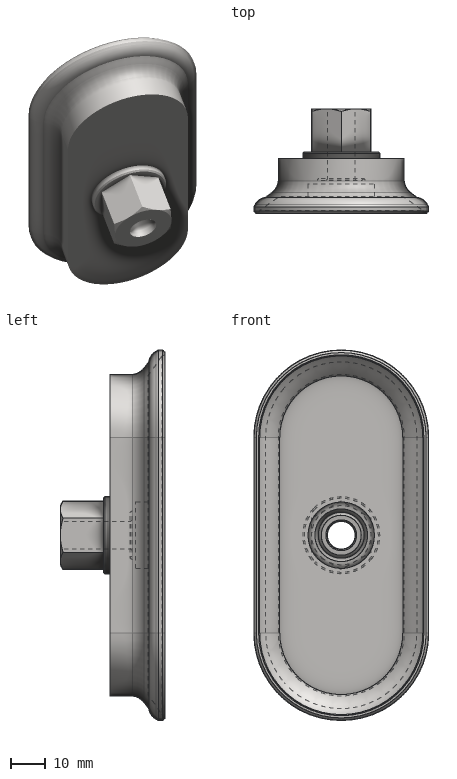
import cadquery as cq
import math

LENGTH = 106.0
WIDTH = 50.0
TOTAL_DEPTH = 30.0
STRAIGHT = LENGTH - WIDTH

RIM_R = WIDTH / 2
BODY_R = 18.0
BODY_BACK_Y = 15.8
BODY_FRONT_Y = 9.3
NECK_R, NECK_Y = 19.8, 6.0
FLARE_R, FLARE_Y = 21.6, 4.7
SHOULDER_R, SHOULDER_Y = 24.6, 2.6
RIM_BACK_Y = 1.9
RIM_FRONT_Y = 0.7
RIM_FACE_R = 24.3

MOUTH_R = 23.6
LIP_EDGE_R, LIP_EDGE_Y = 23.3, 1.0
FLOOR_R = 17.6
FLOOR_Y = 5.0

FLANGE_D = 22.0
FLANGE_BACK_Y = 17.7
FLANGE_CHAMFER = 0.4
HEX_FLATS = 17.0
HEX_CORNERS = HEX_FLATS / math.cos(math.pi / 6)
HEX_CHAMFER_D = 17.0
HEX_CHAMFER_ANGLE = 30.0

COUNTERBORE_D = 19.0
COUNTERBORE_DEPTH = 3.5
GROOVE_OUTER_D = 15.0
GROOVE_BOTTOM_D = 13.1
GROOVE_INNER_D = 11.5
GROOVE_DEPTH = 1.6
TIP_RECESS = 1.0
BORE_D = 8.0
BORE_CHAMFER = 0.4


def revolve_about_y(half_profile):
    return half_profile.close().revolve(360, (0, 0, 0), (0, 1, 0))


def racetrack(half_profile):
    """Carry a half section (x >= 0, starting and ending on the Y axis) round the oval."""
    outline = half_profile.close().val()
    half_bar = cq.Workplane("XY").add(outline).toPending().extrude(STRAIGHT / 2, both=True)
    solid = half_bar.union(half_bar.mirror("YZ"))
    end = cq.Workplane("XY").add(outline).toPending().revolve(360, (0, 0, 0), (0, 1, 0))
    for side in (-1, 1):
        solid = solid.union(end.translate((0, 0, side * STRAIGHT / 2)))
    return solid


def cup():
    outer = (
        cq.Workplane("XY")
        .lineTo(RIM_FACE_R, 0)
        .lineTo(RIM_R, RIM_FRONT_Y)
        .lineTo(RIM_R, RIM_BACK_Y)
        .lineTo(SHOULDER_R, SHOULDER_Y)
        .tangentArcPoint((FLARE_R, FLARE_Y), relative=False)
        .lineTo(NECK_R, NECK_Y)
        .tangentArcPoint((BODY_R, BODY_FRONT_Y), relative=False)
        .lineTo(BODY_R, BODY_BACK_Y)
        .lineTo(0, BODY_BACK_Y)
    )
    cavity = (
        cq.Workplane("XY")
        .lineTo(MOUTH_R, 0)
        .lineTo(LIP_EDGE_R, LIP_EDGE_Y)
        .lineTo(FLOOR_R, FLOOR_Y)
        .lineTo(0, FLOOR_Y)
    )
    return racetrack(outer).cut(racetrack(cavity))


def flange():
    radius = FLANGE_D / 2
    return revolve_about_y(
        cq.Workplane("XY")
        .moveTo(0, BODY_BACK_Y)
        .lineTo(radius, BODY_BACK_Y)
        .lineTo(radius, FLANGE_BACK_Y - FLANGE_CHAMFER)
        .lineTo(radius - FLANGE_CHAMFER, FLANGE_BACK_Y)
        .lineTo(0, FLANGE_BACK_Y)
    )


def hexagon():
    prism = (
        cq.Workplane("XZ", origin=(0, FLANGE_BACK_Y, 0))
        .transformed(rotate=(0, 0, 90))
        .polygon(6, HEX_CORNERS)
        .extrude(FLANGE_BACK_Y - TOTAL_DEPTH)
    )
    top_r = HEX_CHAMFER_D / 2
    drop = (HEX_CORNERS / 2 - top_r) * math.tan(math.radians(HEX_CHAMFER_ANGLE))
    trim = revolve_about_y(
        cq.Workplane("XY")
        .moveTo(0, FLANGE_BACK_Y)
        .lineTo(HEX_CORNERS / 2, FLANGE_BACK_Y)
        .lineTo(HEX_CORNERS / 2, TOTAL_DEPTH - drop)
        .lineTo(top_r, TOTAL_DEPTH)
        .lineTo(0, TOTAL_DEPTH)
    )
    return prism.intersect(trim)


def stepped_bore():
    step_y = FLOOR_Y + COUNTERBORE_DEPTH
    tip_y = step_y + TIP_RECESS
    bore_r = BORE_D / 2
    return revolve_about_y(
        cq.Workplane("XY")
        .lineTo(COUNTERBORE_D / 2, 0)
        .lineTo(COUNTERBORE_D / 2, step_y)
        .lineTo(GROOVE_OUTER_D / 2, step_y)
        .lineTo(GROOVE_BOTTOM_D / 2, step_y + GROOVE_DEPTH)
        .lineTo(GROOVE_INNER_D / 2, tip_y)
        .lineTo(bore_r + BORE_CHAMFER, tip_y)
        .lineTo(bore_r, tip_y + BORE_CHAMFER)
        .lineTo(bore_r, TOTAL_DEPTH)
        .lineTo(0, TOTAL_DEPTH)
    )


result = cup().union(flange()).union(hexagon()).cut(stepped_bore())